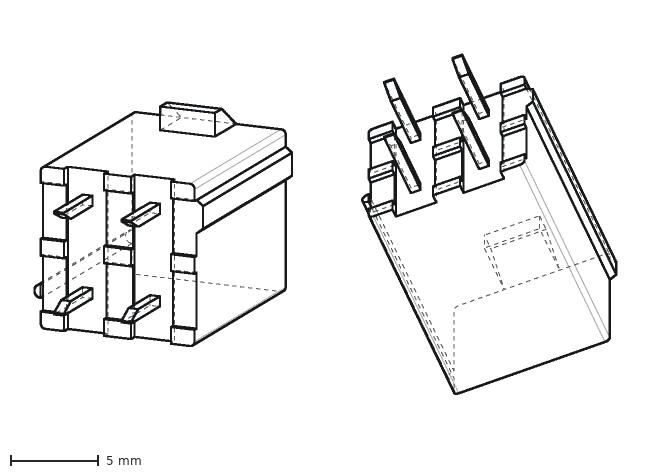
import cadquery as cq


overall_width = 10.4
overall_length = 16.3
overall_height = 11.0

body_size = 9.6
body_length = 12.8
corner_radius = 0.3

channel_width = 2.5
channel_depth = 0.5
center_rail_width = 1.68
pad_height = 1.0
pad_rows = 3
pad_relief = 0.3

pin_size = 0.6
pin_pitch_x = 4.2
pin_pitch_z = 5.48
lower_pin_z = 2.28
pin_taper_length = 1.0
pin_tip_thickness = 0.1

latch_width = 3.4
latch_length = 3.0
latch_flat = 0.98

side_projection = (overall_width - body_size) / 2
rib_z = 2.2
key_z = 7.61
key_base_height = 1.97
key_outer_height = 1.35

half_width = body_size / 2
pin_tip_y = body_length - overall_length


def make_housing():
    """Solid housing with its four long edges rounded."""
    block = cq.Workplane("XY").box(body_size, body_length, body_size, centered=(True, False, False))
    return block.edges("|Y").fillet(corner_radius)


def cut_pin_face(housing):
    """Leave nine stand-off pads by sinking the gaps between them and two deeper full-height channels."""
    gap_count = pad_rows - 1
    gap_height = (body_size - pad_rows * pad_height) / gap_count
    for row in range(gap_count):
        gap_z = pad_height + row * (pad_height + gap_height)
        gap = cq.Workplane("XY").box(body_size, pad_relief, gap_height, centered=(True, False, False))
        housing = housing.cut(gap.translate((0, 0, gap_z)))

    channel_x = (center_rail_width + channel_width) / 2
    for side in (-1, 1):
        channel = cq.Workplane("XY").box(
            channel_width, channel_depth, body_size, centered=(True, False, False)
        )
        housing = housing.cut(channel.translate((side * channel_x, 0, 0)))
    return housing


def make_latch():
    """Wedge rising from the back edge to a flat crest with an upright front."""
    front_y = body_length - latch_length
    return (
        cq.Workplane("YZ")
        .moveTo(body_length, body_size)
        .lineTo(front_y, body_size)
        .lineTo(front_y, overall_height)
        .lineTo(front_y + latch_flat, overall_height)
        .close()
        .extrude(latch_width / 2, both=True)
    )


def make_rib():
    """Half-round rib along the whole -X wall."""
    return (
        cq.Workplane("XZ")
        .moveTo(-half_width, rib_z - side_projection)
        .threePointArc((-half_width - side_projection, rib_z), (-half_width, rib_z + side_projection))
        .close()
        .extrude(-body_length)
    )


def make_key():
    """Trapezoidal key on the +X wall, starting level with the rails."""
    outer_x = half_width + side_projection
    return (
        cq.Workplane("XZ", origin=(0, pad_relief, 0))
        .moveTo(half_width, key_z - key_base_height / 2)
        .lineTo(outer_x, key_z - key_outer_height / 2)
        .lineTo(outer_x, key_z + key_outer_height / 2)
        .lineTo(half_width, key_z + key_base_height / 2)
        .close()
        .extrude(pad_relief - body_length)
    )


def make_pin(x, z, flat_side):
    """Square pin from the channel floor; flat_side is +1 or -1 for the face that stays flat to the tip."""
    flat_z = z + flat_side * pin_size / 2
    taper_z = z - flat_side * pin_size / 2
    taper_start_y = pin_tip_y + pin_taper_length
    return (
        cq.Workplane("YZ", origin=(x, 0, 0))
        .moveTo(channel_depth, flat_z)
        .lineTo(pin_tip_y, flat_z)
        .lineTo(pin_tip_y, flat_z - flat_side * pin_tip_thickness)
        .lineTo(taper_start_y, taper_z)
        .lineTo(channel_depth, taper_z)
        .close()
        .extrude(pin_size / 2, both=True)
    )


result = cut_pin_face(make_housing())
result = result.union(make_latch()).union(make_rib()).union(make_key())

for pin_x in (-pin_pitch_x / 2, pin_pitch_x / 2):
    result = result.union(make_pin(pin_x, lower_pin_z, -1))
    result = result.union(make_pin(pin_x, lower_pin_z + pin_pitch_z, 1))